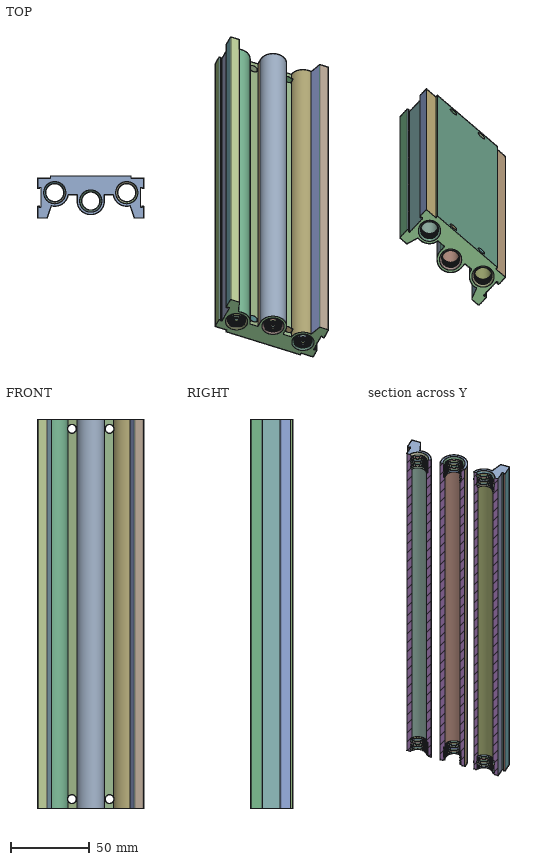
import cadquery as cq

WIDTH = 68.0
DEPTH = 27.0
LENGTH = 248.5
half_width = WIDTH / 2

pad_half_width = 25.8
pad_height = 1.5

slot_front = -19.4
slot_back = -8.1
slot_depth = 2.2
slot_widening = 0.6
lip_thickness = 1.2

edge_round = 0.5

leg_foot_width = 6.2
leg_root_x = 25.0
leg_root_y = -18.8
web_front = -12.2

boss_radius = 8.75
side_channel_x = 23.0
side_channel_y = -10.75
middle_channel_y = -16.1
channel_centers = [(-side_channel_x, side_channel_y), (0, middle_channel_y), (side_channel_x, side_channel_y)]
bore_diameter = 11.4

mouth_diameter = 14.2
thread_major_diameter = 13.2
thread_pitch = 1.337
thread_turns = 9

mount_diameter = 5.5
mount_x = 12.0
mount_end_distance = 6.0


def profile_body():
    """Constant cross-section without the bosses, mirrored about X = 0."""
    lip_inner_x = half_width - lip_thickness
    slot_floor_x = half_width - slot_depth
    right_half = [
        (0, 0),
        (pad_half_width, 0),
        (pad_half_width, -pad_height),
        (half_width, -pad_height),
        (half_width, slot_back),
        (lip_inner_x, slot_back),
        (lip_inner_x, slot_back + slot_widening),
        (slot_floor_x, slot_back + slot_widening),
        (slot_floor_x, slot_front - slot_widening),
        (lip_inner_x, slot_front - slot_widening),
        (lip_inner_x, slot_front),
        (half_width, slot_front),
        (half_width, -DEPTH),
        (half_width - leg_foot_width, -DEPTH),
        (leg_root_x, leg_root_y),
        (side_channel_x, side_channel_y),
        (side_channel_x, web_front),
        (0, web_front),
    ]
    half = cq.Workplane("XY").workplane(offset=-LENGTH / 2).polyline(right_half).close().extrude(LENGTH)
    half = round_lip_and_foot_edges(half)
    return half.union(half.mirror("YZ"))


def round_lip_and_foot_edges(half):
    """Round the outer edges of the slot lips and both edges of the foot."""
    foot_inner_edge = (half_width - leg_foot_width, -DEPTH)
    edge_places = [(half_width, slot_back), (half_width, slot_front), (half_width, -DEPTH), foot_inner_edge]
    for x, y in edge_places:
        nearest_edge = cq.selectors.NearestToPointSelector((x, y, 0))
        half = half.edges("|Z").edges(nearest_edge).fillet(edge_round)
    return half


def bosses():
    """Round boss around each channel; the middle one has straight flanks up to the web."""
    base = cq.Workplane("XY").workplane(offset=-LENGTH / 2)
    rounds = base.pushPoints(channel_centers).circle(boss_radius).extrude(LENGTH)
    neck_height = web_front - middle_channel_y
    neck_center_y = middle_channel_y + neck_height / 2
    neck = base.center(0, neck_center_y).rect(2 * boss_radius, neck_height).extrude(LENGTH)
    return rounds.union(neck)


def port_cutter():
    """Chamfered mouth and thread grooves of one port, opening at Z = 0 and running to -Z."""
    bore_radius = bore_diameter / 2
    mouth_radius = mouth_diameter / 2
    root_radius = thread_major_diameter / 2
    mouth_depth = mouth_radius - root_radius
    outline = [(0, 0), (mouth_radius, 0)]
    for turn in range(thread_turns):
        root_z = -mouth_depth - turn * thread_pitch
        crest_z = root_z - thread_pitch / 2
        outline.append((root_radius, root_z))
        outline.append((bore_radius, crest_z))
    outline.append((0, crest_z))
    return cq.Workplane("XZ").polyline(outline).close().revolve(360, (0, 0, 0), (0, 1, 0))


def channels():
    """Through bores with a threaded port at each end."""
    base = cq.Workplane("XY").workplane(offset=-LENGTH / 2)
    cutter = base.pushPoints(channel_centers).circle(bore_diameter / 2).extrude(LENGTH)
    top_port = port_cutter().translate((0, 0, LENGTH / 2))
    bottom_port = top_port.mirror("XY")
    for x, y in channel_centers:
        cutter = cutter.union(top_port.translate((x, y, 0))).union(bottom_port.translate((x, y, 0)))
    return cutter


def mounting_holes():
    """Four holes through the web, one pair near each end."""
    mount_z = LENGTH / 2 - mount_end_distance
    centers = [(x, z) for x in (-mount_x, mount_x) for z in (-mount_z, mount_z)]
    return cq.Workplane("XZ").pushPoints(centers).circle(mount_diameter / 2).extrude(DEPTH)


result = profile_body().union(bosses()).clean().cut(channels()).cut(mounting_holes())